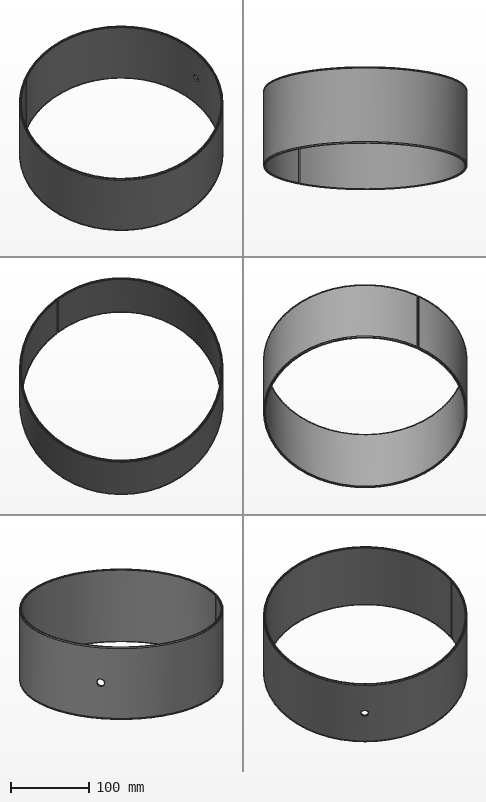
import math

import cadquery as cq

outer_diameter = 260.0
band_height = 100.0
wall = 2.5
inner_chamfer = 0.8
outer_bevel_height = 1.8
outer_bevel_angle = 20.0
seam_angle = 1.0
hole_diameter = 10.0
hole_angle = 59.0
cutter_overrun = 5.0

outer_radius = outer_diameter / 2
inner_radius = outer_radius - wall
half_height = band_height / 2
outer_bevel_depth = outer_bevel_height * math.tan(math.radians(outer_bevel_angle))


def wall_section():
    """Wall profile on the -X side: a long outer bevel and a 45 degree inner chamfer at both rims."""
    inner_rim = -inner_radius - inner_chamfer
    outer_rim = -outer_radius + outer_bevel_depth
    inner_shoulder = half_height - inner_chamfer
    outer_shoulder = half_height - outer_bevel_height
    return (
        cq.Workplane("XZ")
        .moveTo(-inner_radius, -inner_shoulder)
        .lineTo(inner_rim, -half_height)
        .lineTo(outer_rim, -half_height)
        .lineTo(-outer_radius, -outer_shoulder)
        .lineTo(-outer_radius, outer_shoulder)
        .lineTo(outer_rim, half_height)
        .lineTo(inner_rim, half_height)
        .lineTo(-inner_radius, inner_shoulder)
        .close()
    )


def split_band():
    """The wall profile revolved about Z, stopping short of a full turn to leave the seam open."""
    return wall_section().revolve(360 - seam_angle, (0, 0), (0, 1))


def radial_hole():
    """Cutter for the single hole through the wall at mid height."""
    cutter = cq.Workplane("YZ").circle(hole_diameter / 2).extrude(outer_radius + cutter_overrun)
    return cutter.rotate((0, 0, 0), (0, 0, 1), hole_angle)


result = split_band().cut(radial_hole())